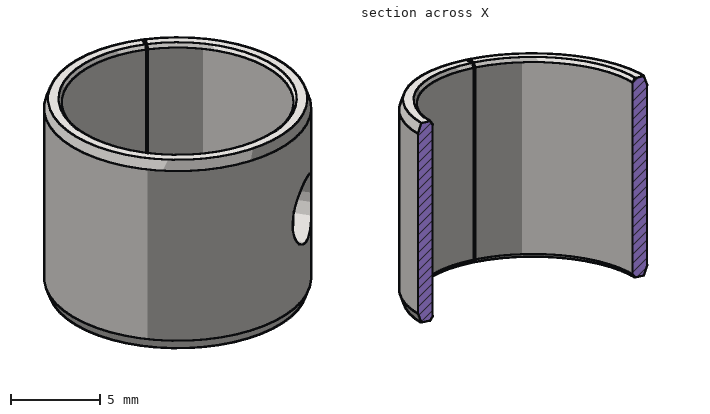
import cadquery as cq

outer_diameter = 15.0
inner_diameter = 13.0
height = 12.0
outer_chamfer_height = 0.6
outer_chamfer_width = 0.22
inner_chamfer_height = 0.24
inner_chamfer_width = 0.18
slit_angle = 1.0
hole_diameter = 4.0
hole_angle = 59.0

outer_radius = outer_diameter / 2
inner_radius = inner_diameter / 2


def split_bush():
    """Revolve the chamfered wall section about Z, leaving a narrow radial slit at -X."""
    section = (
        cq.Workplane("XZ")
        .moveTo(inner_radius + inner_chamfer_width, 0)
        .lineTo(outer_radius - outer_chamfer_width, 0)
        .lineTo(outer_radius, outer_chamfer_height)
        .lineTo(outer_radius, height - outer_chamfer_height)
        .lineTo(outer_radius - outer_chamfer_width, height)
        .lineTo(inner_radius + inner_chamfer_width, height)
        .lineTo(inner_radius, height - inner_chamfer_height)
        .lineTo(inner_radius, inner_chamfer_height)
        .close()
    )
    wall = section.revolve(360 - slit_angle, (0, 0, 0), (0, -1, 0))
    return wall.rotate((0, 0, 0), (0, 0, 1), 180 - slit_angle)


def oil_hole():
    """Radial cutter through one side of the wall at mid height."""
    return (
        cq.Workplane("YZ")
        .center(0, height / 2)
        .circle(hole_diameter / 2)
        .extrude(outer_diameter)
        .rotate((0, 0, 0), (0, 0, 1), hole_angle)
    )


result = split_bush().cut(oil_hole())